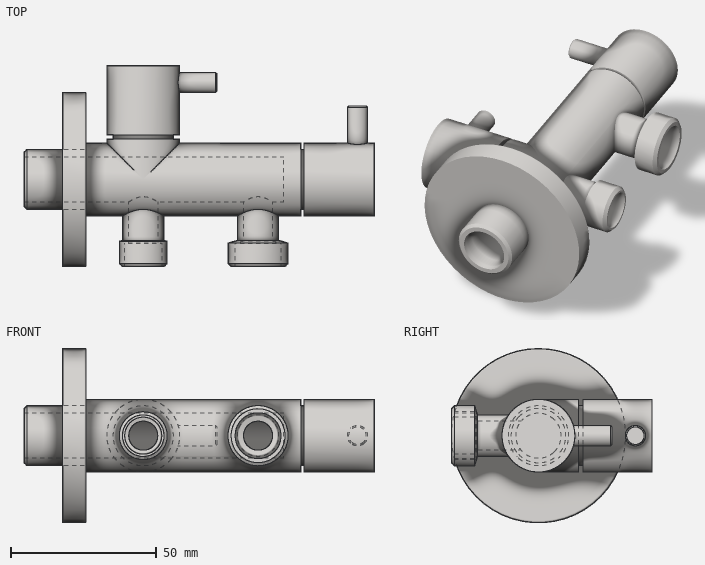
import cadquery as cq

total_length = 120.5
body_diameter = 25.1
pipe_diameter = 20.7
pipe_chamfer = 1.0
bore_diameter = 15.5
bore_depth = 89.2
groove_start = 95.2
groove_width = 1.1
groove_floor_diameter = pipe_diameter
cutter_margin = 1.2

flange_start = 13.3
flange_thickness = 8.1
flange_diameter = 60.0
flange_edge_fillet = 0.6
flange_end = flange_start + flange_thickness

branch_x = 41.0
branch_length = 39.2
branch_groove_start = 13.9
branch_groove_width = 1.5

lever_diameter = 7.0
lever_reach = 25.3
lever_tip_chamfer = 0.5
lever_inset = 5.8

outlet_reach = 30.0
neck_diameter = 14.2
head_length = 9.0
head_rim_chamfer = 1.1
shoulder_slope = 0.3
socket_depth = 8.0
socket_seat_slope = 0.3
outlet_hole_diameter = 10.0
small_outlet_x = branch_x
small_head_diameter = 16.5
small_socket_diameter = 12.8
large_outlet_x = 80.5
large_head_diameter = 20.7
large_socket_diameter = 15.8


def rod(start, direction, length, diameter):
    """Solid cylinder from a start point along a direction."""
    return cq.Workplane(
        cq.Solid.makeCylinder(diameter / 2, length, cq.Vector(*start), cq.Vector(*direction))
    )


def ring_groove(start, direction, width):
    """Square groove cutter that leaves the common groove floor diameter."""
    outside = rod(start, direction, width, body_diameter + cutter_margin)
    return outside.cut(rod(start, direction, width, groove_floor_diameter))


def turned_about_y(profile, x):
    """Revolve (radius, y) points about the line parallel to Y at the given x."""
    points = [(x + radius, y) for radius, y in profile]
    return cq.Workplane("XY").polyline(points).close().revolve(360, (x, 0), (x, 1))


def main_tube():
    pipe = rod((0, 0, 0), (1, 0, 0), flange_end, pipe_diameter)
    pipe = pipe.faces("<X").chamfer(pipe_chamfer)
    barrel = rod((flange_end, 0, 0), (1, 0, 0), total_length - flange_end, body_diameter)
    return pipe.union(barrel).cut(ring_groove((groove_start, 0, 0), (1, 0, 0), groove_width))


def side_branch():
    branch = rod((branch_x, 0, 0), (0, 1, 0), branch_length, body_diameter)
    groove = ring_groove((branch_x, branch_groove_start, 0), (0, 1, 0), branch_groove_width)
    return branch.cut(groove)


def lever(base, direction, tip_face):
    """Lever pin starting on a knob's axis, with a chamfered free end."""
    return rod(base, direction, lever_reach, lever_diameter).faces(tip_face).chamfer(lever_tip_chamfer)


def outlet(x, head_diameter):
    """Neck and wider head of one outlet, from the body axis to the rim."""
    neck_radius = neck_diameter / 2
    head_radius = head_diameter / 2
    head_back = head_length - outlet_reach
    shoulder_drop = (head_radius - neck_radius) * shoulder_slope
    return turned_about_y(
        [
            (0, 0),
            (neck_radius, 0),
            (neck_radius, head_back),
            (head_radius, head_back - shoulder_drop),
            (head_radius, head_rim_chamfer - outlet_reach),
            (head_radius - head_rim_chamfer, -outlet_reach),
            (0, -outlet_reach),
        ],
        x,
    )


def outlet_passage(x, socket_diameter):
    """Socket with a conical seat, then a hole through to the main bore."""
    hole_radius = outlet_hole_diameter / 2
    socket_radius = socket_diameter / 2
    socket_floor = socket_depth - outlet_reach
    seat_depth = (socket_radius - hole_radius) * socket_seat_slope
    return turned_about_y(
        [
            (0, 0),
            (hole_radius, 0),
            (hole_radius, socket_floor + seat_depth),
            (socket_radius, socket_floor),
            (socket_radius, -outlet_reach),
            (0, -outlet_reach),
        ],
        x,
    )


def valve_body():
    body = main_tube().union(side_branch())
    body = body.union(lever((branch_x, branch_length - lever_inset, 0), (1, 0, 0), ">X"))
    body = body.union(lever((total_length - lever_inset, 0, 0), (0, 1, 0), ">Y"))
    outlets = [
        (small_outlet_x, small_head_diameter, small_socket_diameter),
        (large_outlet_x, large_head_diameter, large_socket_diameter),
    ]
    for x, head_diameter, _ in outlets:
        body = body.union(outlet(x, head_diameter))
    body = body.cut(rod((0, 0, 0), (1, 0, 0), bore_depth, bore_diameter))
    for x, _, socket_diameter in outlets:
        body = body.cut(outlet_passage(x, socket_diameter))
    return body


def wall_flange():
    """Disc against the barrel's end face, with the inlet pipe through its hole."""
    disc = rod((flange_start, 0, 0), (1, 0, 0), flange_thickness, flange_diameter)
    disc = disc.faces(">X").edges().fillet(flange_edge_fillet)
    return disc.cut(rod((flange_start, 0, 0), (1, 0, 0), flange_thickness, pipe_diameter))


valve = valve_body()
flange = wall_flange()

result = cq.Compound.makeCompound([valve.solids().val(), flange.solids().val()])